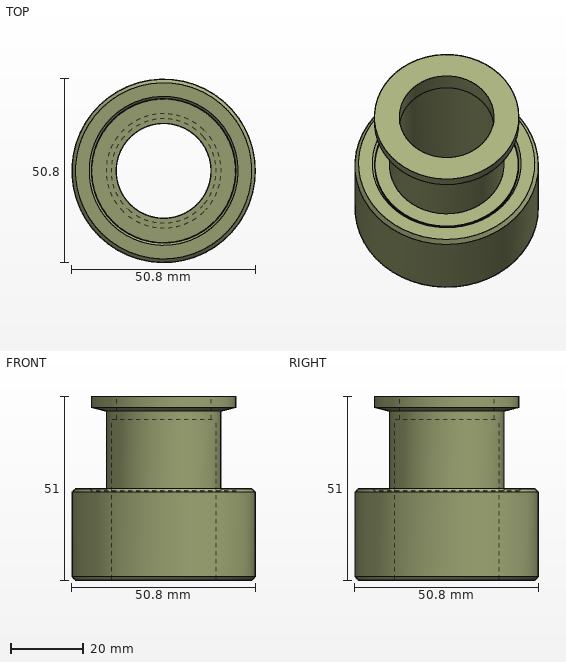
import cadquery as cq

height = 50.95
body_diameter = 50.8
body_height = 25.4
body_chamfer = 1.0

neck_diameter = 31.75
flange_diameter = 40.0
flange_rim_height = 3.05
flange_taper_height = 1.05

mouth_diameter = 26.2
mouth_depth = 6.45
bore_diameter = 29.0

recess_depth = 0.5
recess_diameter = 39.9
recess_bevel = 0.65
ring_inner_diameter = 39.6
ring_depth = 1.0
recess_top_diameter = recess_diameter + 2 * recess_bevel


def cylinder(diameter, bottom, length):
    return cq.Workplane("XY").workplane(offset=bottom).circle(diameter / 2).extrude(length)


def cone(bottom_diameter, top_diameter, bottom, length):
    solid = cq.Solid.makeCone(
        bottom_diameter / 2, top_diameter / 2, length, pnt=cq.Vector(0, 0, bottom)
    )
    return cq.Workplane(obj=solid)


body = cylinder(body_diameter, 0, body_height).edges().chamfer(body_chamfer)
bevel_bottom = body_height - recess_bevel
ring_bottom = body_height - ring_depth
opening = cylinder(recess_diameter, ring_bottom, ring_depth)
bevel = cone(recess_diameter, recess_top_diameter, bevel_bottom, recess_bevel)
island = cylinder(ring_inner_diameter, ring_bottom, ring_depth - recess_depth)
body = body.cut(opening.union(bevel)).union(island)

rim_bottom = height - flange_rim_height
taper_bottom = rim_bottom - flange_taper_height
neck = cylinder(neck_diameter, 0, height)
taper = cone(neck_diameter, flange_diameter, taper_bottom, flange_taper_height)
rim = cylinder(flange_diameter, rim_bottom, flange_rim_height)

mouth_bottom = height - mouth_depth
mouth = cylinder(mouth_diameter, mouth_bottom, mouth_depth)
passage = cylinder(bore_diameter, 0, mouth_bottom)

result = body.union(neck).union(taper).union(rim).cut(mouth).cut(passage)